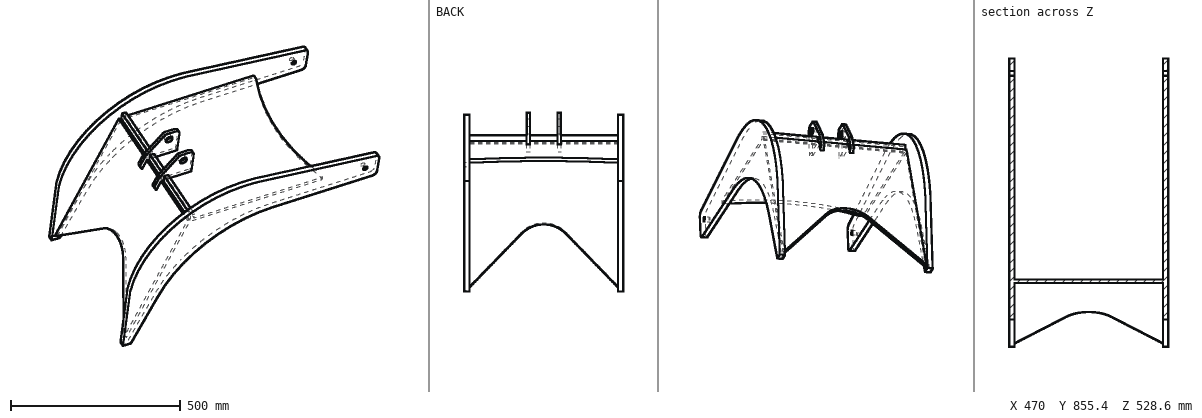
import cadquery as cq
import math

total_width = 470.0
side_thickness = 16.0
sheet_thickness = 10.0
inner_width = total_width - 2 * side_thickness
half_inner = inner_width / 2

tail_slope = -0.124
tail_angle = math.degrees(math.atan(tail_slope))
outer_center = (363.5, 178.0)
outer_radius = 345.5
inner_center = (453.0, -10.0)
inner_radius = 381.0
blade_front_angle = 169.0
outer_end_angle = 84.2
inner_end_angle = 90 + tail_angle
blade_back_angle = 152.1
crown_end = (452.5, 513.0)
tail_top = (857.0, 408.0)
tail_bottom = (846.0, 325.0)
tail_fillet = 15.0
tip_front = (0.0, 4.0)
tip_back = (26.5, 0.0)
arm_hole = (808.0, 375.0)
arm_hole_diameter = 14.0

bend = (233.0, 446.5)
upper_length = 445.0
upper_dip = 37.0
upper_flat = 15.0
lower_foot = (1.3, 0.0)
lower_angle = math.degrees(math.atan2(2, 1))
lower_length = 498.0
notch_side_height = 20.1
notch_half_angle = 41.0
notch_radius = 85.5

bar_depth = 13.0
bar_height = 17.0

lug_thickness = 10.0
lug_offset = 45.0
lug_hole = (298.5, 499.5)
lug_hole_diameter = 22.0
lug_fillet = 8.5
lug_rear_fillet = 15.0
lug_root_depth = 5.0


def on_circle(center, radius, angle):
    """Point of a circle in (Y, Z), with the angle in degrees from +Y."""
    turn = math.radians(angle)
    return (center[0] + radius * math.cos(turn), center[1] + radius * math.sin(turn))


def plane_in_yz(origin, angle):
    """Sheet plane with local x along X and local y rising at an angle from +Y."""
    turn = math.radians(angle)
    normal = (0, -math.sin(turn), math.cos(turn))
    return cq.Plane(origin=(0, *origin), xDir=(1, 0, 0), normal=normal)


def plate_base(center_x, thickness):
    """YZ workplane at the low-X face of a plate centred on center_x."""
    return cq.Workplane("YZ", origin=(center_x - thickness / 2, 0, 0))


def side_arm(center_x):
    outer_mid_angle = (blade_front_angle + outer_end_angle) / 2
    inner_mid_angle = (blade_back_angle + inner_end_angle) / 2
    arm = (
        plate_base(center_x, side_thickness)
        .moveTo(*tip_front)
        .lineTo(*on_circle(outer_center, outer_radius, blade_front_angle))
        .threePointArc(
            on_circle(outer_center, outer_radius, outer_mid_angle),
            on_circle(outer_center, outer_radius, outer_end_angle),
        )
        .tangentArcPoint(crown_end, relative=False)
        .lineTo(*tail_top)
        .lineTo(*tail_bottom)
        .lineTo(*on_circle(inner_center, inner_radius, inner_end_angle))
        .threePointArc(
            on_circle(inner_center, inner_radius, inner_mid_angle),
            on_circle(inner_center, inner_radius, blade_back_angle),
        )
        .lineTo(*tip_back)
        .close()
        .extrude(side_thickness)
        .edges("|X and >Y")
        .fillet(tail_fillet)
    )
    arm = arm.edges(cq.NearestToPointSelector((center_x, *tail_bottom))).fillet(tail_fillet)
    hole = plate_base(center_x, side_thickness).center(*arm_hole)
    return arm.cut(hole.circle(arm_hole_diameter / 2).extrude(side_thickness))


def upper_panel():
    arc_half = half_inner - upper_flat
    return (
        cq.Workplane(plane_in_yz(bend, tail_angle))
        .moveTo(-half_inner, 0)
        .lineTo(half_inner, 0)
        .lineTo(half_inner, upper_length)
        .lineTo(arc_half, upper_length)
        .threePointArc((0, upper_length - upper_dip), (-arc_half, upper_length))
        .lineTo(-half_inner, upper_length)
        .close()
        .extrude(-sheet_thickness)
    )


def lower_panel():
    half_angle = math.radians(notch_half_angle)
    vertex_height = notch_side_height + half_inner / math.tan(half_angle)
    arc_center = vertex_height - notch_radius / math.sin(half_angle)
    tangent_x = notch_radius * math.cos(half_angle)
    tangent_height = arc_center + notch_radius * math.sin(half_angle)
    return (
        cq.Workplane(plane_in_yz(lower_foot, lower_angle))
        .moveTo(-half_inner, notch_side_height)
        .lineTo(-tangent_x, tangent_height)
        .threePointArc((0, arc_center + notch_radius), (tangent_x, tangent_height))
        .lineTo(half_inner, notch_side_height)
        .lineTo(half_inner, lower_length)
        .lineTo(-half_inner, lower_length)
        .close()
        .extrude(-sheet_thickness)
    )


def cross_bar():
    return (
        cq.Workplane(plane_in_yz(bend, tail_angle))
        .rect(inner_width, bar_depth, centered=(True, False))
        .extrude(bar_height)
    )


def lug(center_x):
    def upper_surface(y):
        return bend[1] + tail_slope * (y - bend[0])

    rear_foot = 325.0
    top_rear = (334.0, 523.5)
    top_front = (286.5, 529.0)
    knee = (219.0, 466.0)
    toe = (200.0, 430.0)
    toe_root = (208.0, 413.0)
    body = (
        plate_base(center_x, lug_thickness)
        .polyline(
            [
                (rear_foot, upper_surface(rear_foot)),
                top_rear,
                top_front,
                knee,
                toe,
                toe_root,
                (toe_root[0] + lug_root_depth, toe_root[1]),
                (bend[0], bend[1] - lug_root_depth),
                (bend[0] + bar_depth, upper_surface(bend[0] + bar_depth) - lug_root_depth),
            ]
        )
        .close()
        .extrude(lug_thickness)
    )
    for corner, radius in ((top_rear, lug_rear_fillet), (top_front, lug_fillet), (toe, lug_fillet)):
        body = body.edges(cq.NearestToPointSelector((center_x, *corner))).fillet(radius)
    hole = plate_base(center_x, lug_thickness).center(*lug_hole)
    return body.cut(hole.circle(lug_hole_diameter / 2).extrude(lug_thickness))


result = upper_panel().union(lower_panel()).union(cross_bar())
for side in (-1, 1):
    result = result.union(side_arm(side * (total_width - side_thickness) / 2))
    result = result.union(lug(side * lug_offset))